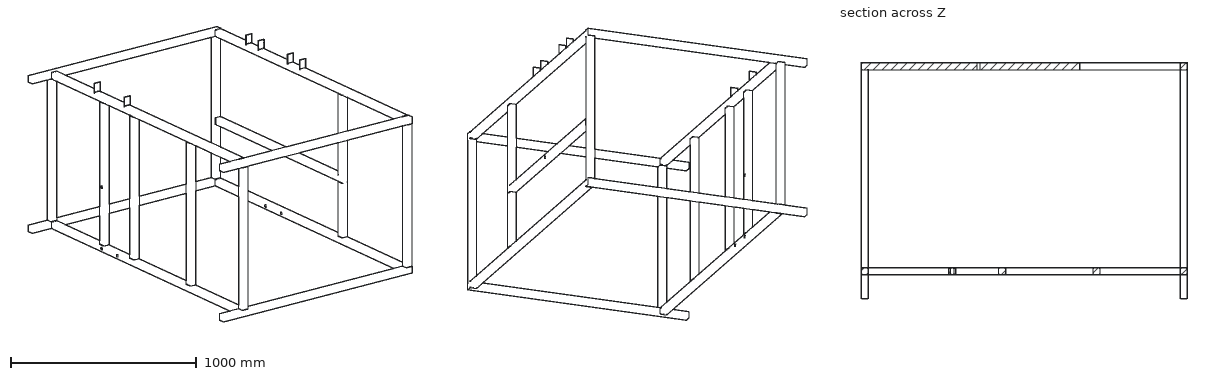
import cadquery as cq

LENGTH = 1760.0
DEPTH = 1273.0
TOTAL_HEIGHT = 950.0
TAB_HEIGHT = 51.0
FRAME_HEIGHT = TOTAL_HEIGHT - TAB_HEIGHT

BAR = LENGTH / 44
CORNER_RADIUS = 5.0
END_RADIUS = 4.4

RIGHT_X = LENGTH - BAR
REAR_Y = DEPTH - BAR
FRONT_OVERHANG = 129.0
FRONT_Y = FRONT_OVERHANG
TOP_Z = FRAME_HEIGHT - BAR
CLEAR_LENGTH = LENGTH - 2 * BAR
CLEAR_HEIGHT = FRAME_HEIGHT - 2 * BAR

FRONT_POST_X = (472.0, 741.0, 1250.0)
REAR_POST_X = 1140.0
SHELF_Z = 354.0

TAB_THICKNESS = 6.0
FRONT_TAB_X = (426.0, 695.0)
REAR_TAB_X = (317.0, 426.0, 690.0, 800.0)

HOLE_DIAMETER = 14.0
HOLE_SPACING = 140.0
FIRST_HOLE_X = FRONT_POST_X[0] + BAR / 2
HOLE_X = (FIRST_HOLE_X, FIRST_HOLE_X + HOLE_SPACING)
BEAM_HOLE_Z = BAR / 2
SHELF_HOLE_Z = SHELF_Z + BAR / 2
BLIND_DEPTH = BAR / 2


def bar(axis, length, x, y, z):
    """Square bar with rounded long edges, running along axis from its low corner."""
    size = {"X": BAR, "Y": BAR, "Z": BAR}
    size[axis] = length
    body = cq.Workplane("XY").box(size["X"], size["Y"], size["Z"], centered=False)
    return body.edges("|" + axis).fillet(CORNER_RADIUS).translate((x, y, z))


def wedge(corners):
    """Prism through the rear row of bars with the given XZ outline, for mitre cuts."""
    return cq.Workplane("XZ", origin=(0, DEPTH, 0)).polyline(corners).close().extrude(BAR)


def side_rails():
    """Full-depth rails at both sides, top and bottom, with rounded front ends."""
    rail = bar("Y", DEPTH, 0, 0, 0).faces("<Y").edges().fillet(END_RADIUS)
    return [rail.translate((x, 0, z)) for x in (0, RIGHT_X) for z in (0, TOP_Z)]


def cross_beams():
    """Front and rear beams fitted between the side rails."""
    return [bar("X", CLEAR_LENGTH, BAR, y, z) for y in (FRONT_Y, REAR_Y) for z in (0, TOP_Z)]


def posts():
    """Corner posts and the front intermediate posts, between lower and upper bars."""
    places = [(x, y) for x in (0, RIGHT_X) for y in (FRONT_Y, REAR_Y)]
    places += [(x, FRONT_Y) for x in FRONT_POST_X]
    return [bar("Z", CLEAR_HEIGHT, x, y, BAR) for x, y in places]


def rear_shelf():
    """Shelf bar mitred into the upper rear post, with a lower post butted below it."""
    post_right = REAR_POST_X + BAR
    shelf_top = SHELF_Z + BAR
    inner_corner = (REAR_POST_X, shelf_top)
    outer_corner = (post_right, SHELF_Z)
    shelf = bar("X", post_right - BAR, BAR, REAR_Y, SHELF_Z)
    shelf = shelf.cut(wedge([inner_corner, outer_corner, (post_right, shelf_top)]))
    upper = bar("Z", TOP_Z - SHELF_Z, REAR_POST_X, REAR_Y, SHELF_Z)
    upper = upper.cut(wedge([inner_corner, outer_corner, (REAR_POST_X, SHELF_Z)]))
    lower = bar("Z", SHELF_Z - BAR, REAR_POST_X, REAR_Y, BAR)
    return [shelf, upper, lower]


def tabs():
    """Thin plates standing on the top beams, reaching down to the middle of the bar."""
    plate = cq.Workplane("XY").box(
        TAB_THICKNESS, BAR, TAB_HEIGHT + BAR / 2, centered=(True, False, False)
    )
    base_z = FRAME_HEIGHT - BAR / 2
    places = [(x, FRONT_Y) for x in FRONT_TAB_X] + [(x, REAR_Y) for x in REAR_TAB_X]
    return [plate.translate((x, y, base_z)) for x, y in places]


def hole(x, y, z, depth):
    """Cylinder entering a bar from its front face at y."""
    return cq.Workplane("XZ", origin=(x, y, z)).circle(HOLE_DIAMETER / 2).extrude(-depth)


def holes():
    """Through holes in the front beam, front post and shelf, blind ones in the rear beam."""
    cutters = [hole(FIRST_HOLE_X, FRONT_Y, SHELF_HOLE_Z, BAR)]
    for x in HOLE_X:
        cutters.append(hole(x, FRONT_Y, BEAM_HOLE_Z, BAR))
        cutters.append(hole(x, REAR_Y, BEAM_HOLE_Z, BLIND_DEPTH))
    cutters.append(hole(HOLE_X[1], REAR_Y, SHELF_HOLE_Z, BAR))
    return cutters


result = cq.Workplane("XY")
for member in side_rails() + cross_beams() + posts() + rear_shelf() + tabs():
    result = result.union(member)
for cutter in holes():
    result = result.cut(cutter)